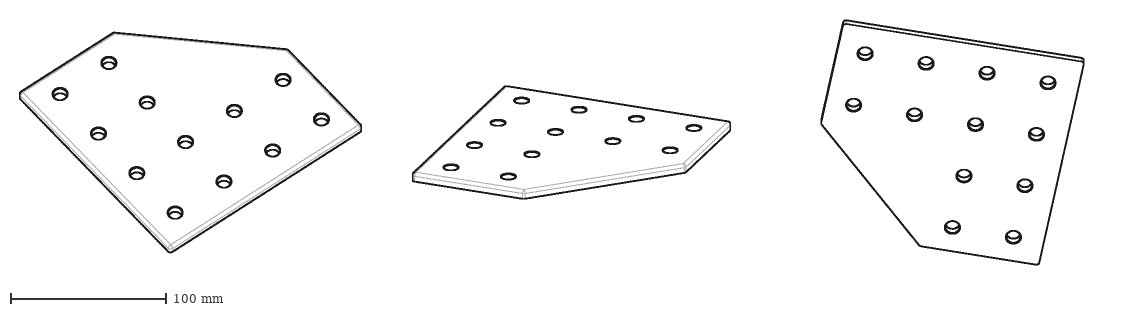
import cadquery as cq

side = 158.0
thickness = 6.0
corner_cut = 80.0
edge_radius = 2.0

hole_diameter = 9.0
hole_chamfer = 0.5
pitch = 40.0
edge_offset = 20.0
long_row = 4
arm_width = 2


def make_plate():
    """Square plate with its -X +Y corner cut off and its edges rounded."""
    outline = [
        (0, 0),
        (side, 0),
        (side, side),
        (corner_cut, side),
        (0, side - corner_cut),
    ]
    plate = cq.Workplane("XY").polyline(outline).close().extrude(thickness)
    plate = plate.edges("|Z").fillet(edge_radius)
    return plate.faces(">Z").edges().fillet(edge_radius)


def hole_centres():
    """Grid positions that belong to either arm of the L, counted from the +X -Y corner."""
    return [
        (side - edge_offset - column * pitch, edge_offset + row * pitch)
        for column in range(long_row)
        for row in range(long_row)
        if column < arm_width or row < arm_width
    ]


def make_holes():
    """Through holes with a small chamfer at both faces."""
    radius = hole_diameter / 2
    mouth_radius = radius + hole_chamfer
    profile = [
        (0, 0),
        (mouth_radius, 0),
        (radius, hole_chamfer),
        (radius, thickness - hole_chamfer),
        (mouth_radius, thickness),
        (0, thickness),
    ]
    hole = cq.Workplane("XZ").polyline(profile).close().revolve(360, (0, 0), (0, 1)).val()
    return cq.Workplane("XY").pushPoints(hole_centres()).eachpoint(lambda place: hole.moved(place))


result = make_plate().cut(make_holes())